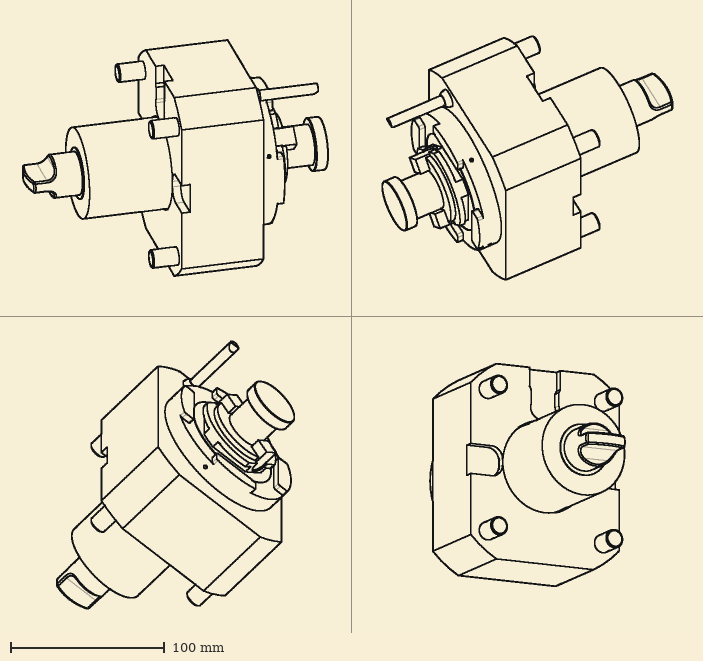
import cadquery as cq
import math


block_width = 108.0
block_height = 130.0
block_depth = 55.0
block_corner_radius = 74.0
quill_radius = 60.0 / 2
quill_length = 55.5
gap_radius = 30.7

keyway_depth = 5.5
keyway_end_distance = 31.0
keyway_width = 20.0
keyway_corner_radius = 8.0
top_keyway_mouth_width = 22.3
top_keyway_foot_width = 21.1
mouth_z = 52.5
mouth_neck_z = 50.3
foot_neck_z = 41.7

pin_radius = 12 / 2
pin_length = 17.5
pin_chamfer = 0.8
pin_x = 41.9
pin_z = 47.0

shaft_radius = 28.5 / 2
collar_radius = 34 / 2
collar_length = 0.5
shaft_tip_y = -91.0
shoulder_y = -73.6
tang_thickness = 8.0
tang_hollow_radius = 6.0
tang_tip_radius = 39.0
tang_chamfer = 1.0

cover_radius = 96.0 / 2
cover_end_y = 66.8
cover_step_radius = 34.0
cover_step_end_y = 67.2
lug_end_y = 71.0
lug_width = 34.3
lug_inner_distance = 36.7
lug_corner_radius = 1.5
radial_hole_diameter = 2.2
radial_hole_depth = 4.0
radial_hole_y = 61.5
radial_hole_angle = 22.5

neck_width = 49.5
flange_radius = 60.0 / 2
flange_start_y = 72.2
flange_end_y = 76.0
flange_flat_distance = 25.5
disc_radius = 23.7
disc_end_y = 79.5
stem_radius = 27.0 / 2
head_radius = 35.0 / 2
head_start_y = 100.5
head_end_y = 108.5
head_chamfer = 0.4

key_width = 12.2
key_inner_distance = 14.2
key_outer_distance = 24.3
key_start_y = 68.2
key_end_y = 86.2
key_angles = (45, 225)

tube_radius = 7.0 / 2
tube_bevel = 3.5
tube_x = 26.1
tube_z = 54.0
tube_end_y = 98.5
gland_radius = 6.0
gland_height = 4.4


def rod(radius, start_y, end_y, x=0, z=0):
    """Cylinder along Y between two Y positions."""
    plane = cq.Workplane("XZ", origin=(x, start_y, z))
    return plane.circle(radius).extrude(start_y - end_y)


def slab(width, height, start_y, end_y, x=0, z=0):
    """Box centred on (x, z) between two Y positions."""
    plane = cq.Workplane("XZ", origin=(x, start_y, z))
    return plane.rect(width, height).extrude(start_y - end_y)


def turned(solid, angle):
    """Turn a solid about the spindle axis, from +X toward +Z."""
    return solid.rotate((0, 0, 0), (0, 1, 0), -angle)


def side_keyway():
    """Round-ended keyway that opens at the +X side."""
    length = block_width / 2 - keyway_end_distance
    keyway = slab(length, keyway_width, 0, keyway_depth, x=keyway_end_distance + length / 2)
    return keyway.edges("|Y and <X").fillet(keyway_corner_radius)


def top_keyway():
    """Waisted keyway that opens at the top."""
    mouth = top_keyway_mouth_width / 2
    waist = keyway_width / 2
    foot = top_keyway_foot_width / 2
    corner_z = keyway_end_distance + keyway_corner_radius
    flat = foot - keyway_corner_radius
    diagonal = keyway_corner_radius * math.sqrt(0.5)
    mid_x = flat + diagonal
    mid_z = corner_z - diagonal
    return (
        cq.Workplane("XZ")
        .moveTo(-mouth, block_height / 2)
        .lineTo(-mouth, mouth_z)
        .lineTo(-waist, mouth_neck_z)
        .lineTo(-waist, foot_neck_z)
        .lineTo(-foot, corner_z)
        .threePointArc((-mid_x, mid_z), (-flat, keyway_end_distance))
        .lineTo(flat, keyway_end_distance)
        .threePointArc((mid_x, mid_z), (foot, corner_z))
        .lineTo(waist, foot_neck_z)
        .lineTo(waist, mouth_neck_z)
        .lineTo(mouth, mouth_z)
        .lineTo(mouth, block_height / 2)
        .close()
        .extrude(-keyway_depth)
    )


def housing():
    body = slab(block_width, block_height, 0, block_depth)
    body = body.intersect(rod(block_corner_radius, 0, block_depth))
    for angle in (0, 180):
        body = body.cut(turned(side_keyway(), angle))
    body = body.cut(top_keyway())
    body = body.cut(rod(gap_radius, 0, keyway_depth))
    body = body.union(rod(quill_radius, -quill_length, block_depth))
    for x in (-pin_x, pin_x):
        for z in (-pin_z, pin_z):
            pin = rod(pin_radius, -pin_length, block_depth / 2, x, z)
            body = body.union(pin.faces("<Y").chamfer(pin_chamfer))
    return body


def tang_relief():
    """Material removed above the tang, with a hollow at the shoulder."""
    face_z = tang_thickness / 2
    hollow_y = shoulder_y - tang_hollow_radius
    hollow_z = face_z + tang_hollow_radius
    diagonal = tang_hollow_radius * math.sqrt(0.5)
    return (
        cq.Workplane("YZ")
        .moveTo(shaft_tip_y, face_z)
        .lineTo(hollow_y, face_z)
        .threePointArc((hollow_y + diagonal, hollow_z - diagonal), (shoulder_y, hollow_z))
        .lineTo(shoulder_y, shaft_radius)
        .lineTo(shaft_tip_y, shaft_radius)
        .close()
        .extrude(shaft_radius, both=True)
    )


def shaft():
    body = rod(shaft_radius, shaft_tip_y, -quill_length)
    tip_centre_y = shaft_tip_y + tang_tip_radius
    tip_round = cq.Workplane("XY").center(0, tip_centre_y).circle(tang_tip_radius)
    body = body.intersect(tip_round.extrude(shaft_radius, both=True))
    for angle in (0, 180):
        body = body.cut(turned(tang_relief(), angle))
    tang_box = cq.selectors.BoxSelector(
        (-block_width, shaft_tip_y - tang_chamfer, -block_width),
        (block_width, shoulder_y + tang_chamfer, block_width),
    )
    body = body.edges(tang_box).chamfer(tang_chamfer)
    return body.union(rod(collar_radius, -quill_length - collar_length, -quill_length))


def lug():
    """Raised segment at the +X edge of the cover."""
    length = cover_radius - lug_inner_distance
    middle_x = lug_inner_distance + length / 2
    segment = slab(length, lug_width, block_depth, lug_end_y, x=middle_x)
    segment = segment.intersect(turned(rod(cover_radius, block_depth, lug_end_y), 180))
    return segment.edges("|Y").fillet(lug_corner_radius)


def cover():
    clearing = rod(2 * cover_radius, cover_end_y, lug_end_y)
    for quarter in range(4):
        clearing = clearing.cut(turned(lug(), 90 * quarter))
    body = rod(cover_radius, block_depth, lug_end_y).cut(clearing)
    body = body.union(rod(cover_step_radius, block_depth, cover_step_end_y))
    hole = (
        cq.Workplane("YZ", origin=(cover_radius - radial_hole_depth, radial_hole_y, 0))
        .circle(radial_hole_diameter / 2)
        .extrude(2 * radial_hole_depth)
    )
    for quarter in range(4):
        body = body.cut(turned(hole, radial_hole_angle + 90 * quarter))
    return body


def key_profile(start_x, end_x):
    """Key with a half-round front end, standing on the +X side."""
    centre_y = key_start_y + key_width / 2
    half = key_width / 2
    return (
        cq.Workplane("YZ", origin=(start_x, 0, 0))
        .moveTo(key_end_y, -half)
        .lineTo(centre_y, -half)
        .threePointArc((key_start_y, 0), (centre_y, half))
        .lineTo(key_end_y, half)
        .close()
        .extrude(end_x - start_x)
    )


def coupling():
    body = slab(neck_width, neck_width, cover_end_y, flange_start_y)
    body = body.intersect(rod(flange_radius, cover_end_y, flange_start_y))
    body = body.union(rod(flange_radius, flange_start_y, flange_end_y))
    flat_depth = flange_radius - flange_flat_distance
    flat_middle = flange_flat_distance + flat_depth / 2
    flat = slab(flat_depth, 2 * flange_radius, cover_end_y, flange_end_y, x=flat_middle)
    for angle in key_angles:
        body = body.cut(turned(flat, angle))
        body = body.cut(turned(key_profile(key_outer_distance, flange_radius), angle))
    body = body.union(rod(disc_radius, flange_end_y, disc_end_y))
    for angle in key_angles:
        body = body.union(turned(key_profile(key_inner_distance, key_outer_distance), angle))
    body = body.union(rod(stem_radius, disc_end_y, head_start_y))
    head = rod(head_radius, head_start_y, head_end_y)
    return body.union(head.edges().chamfer(head_chamfer))


def coolant_tube():
    gland = cq.Workplane("XY").sphere(gland_radius).translate((tube_x, block_depth, tube_z))
    gland = gland.intersect(
        rod(gland_radius, block_depth - gland_height, block_depth + gland_height, tube_x, tube_z)
    )
    tube = rod(tube_radius, block_depth, tube_end_y, tube_x, tube_z)
    bevel = (
        cq.Workplane("YZ", origin=(tube_x, 0, 0))
        .moveTo(tube_end_y, tube_z - tube_radius + tube_bevel)
        .lineTo(tube_end_y, tube_z - tube_radius)
        .lineTo(tube_end_y - tube_bevel, tube_z - tube_radius)
        .close()
        .extrude(tube_radius, both=True)
    )
    return gland.union(tube.cut(bevel))


result = housing().union(shaft()).union(cover()).union(coupling()).union(coolant_tube()).clean()